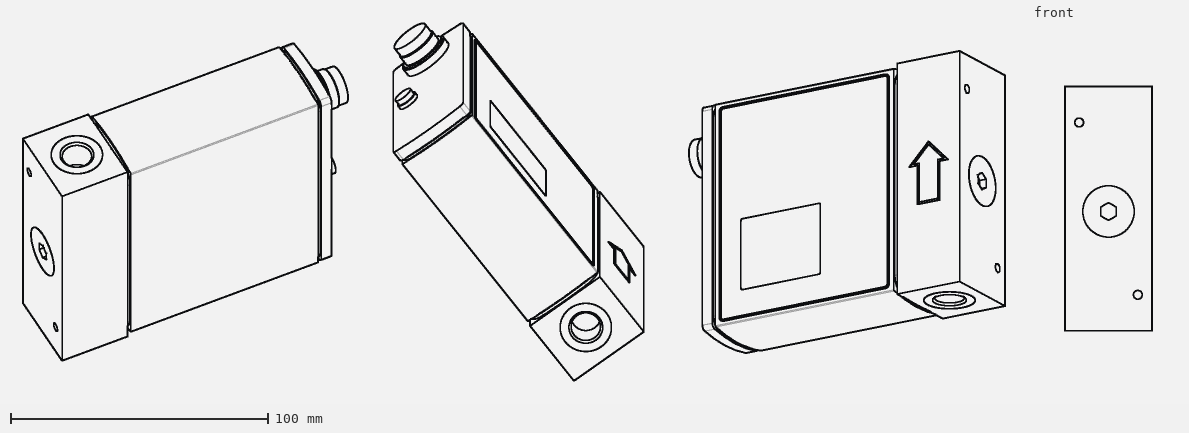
import cadquery as cq
import math

WIDTH = 34.0
HEIGHT = 95.0
HALF_WIDTH = WIDTH / 2
HALF_HEIGHT = HEIGHT / 2

BLOCK_REAR = 28.5
HOUSING_FRONT = 30.0
HOUSING_REAR = 111.45
CAP_FRONT = 112.7
CAP_REAR = 117.3

CROWN_RADIUS = 80.0
CAP_CORNER_RADIUS = 2.0
HOUSING_EDGE_RADIUS = 0.4

SEAL_INSET = 0.35
SEAL_BITE = 0.05
FRONT_SEAL_CORNER = 7.2
REAR_SEAL_CORNER = 5.2

PANEL_FRONT = 32.2
PANEL_REAR = 109.6
PANEL_HEIGHT = 88.2
PANEL_CORNER_RADIUS = 1.9
PANEL_GROOVE_WIDTH = 0.7
PANEL_GROOVE_DEPTH = 0.3
LABEL_LENGTH = 36.2
LABEL_HEIGHT = 29.2
LABEL_CENTER_Y = 81.6
LABEL_CENTER_Z = -18.2
LABEL_CORNER_RADIUS = 0.8
LABEL_DEPTH = 0.1

ARROW_CENTER_Y = 14.2
ARROW_TIP_Z = 12.8
ARROW_WING_Z = 3.8
ARROW_TAIL_Z = -12.2
ARROW_HALF_SPAN = 8.8
ARROW_HALF_SHAFT = 5.0
ARROW_LINE_WIDTH = 0.8
ARROW_DEPTH = 0.2

PORT_CENTER_Y = 15.0
PORT_BORE = 11.45
PORT_MOUTH = 13.16
PORT_DEPTH = 12.0
SPOTFACE_DIAMETER = 20.0
SPOTFACE_DEPTH = 0.1

PLUG_CENTER_Z = -1.1
PLUG_DIAMETER = 20.0
PLUG_RECESS = 0.1
HEX_ACROSS_FLATS = 6.0
HEX_DEPTH = 3.0
MOUNT_HOLE_DIAMETER = 3.4
MOUNT_HOLE_DEPTH = 8.0
MOUNT_HOLE_X = 11.4
MOUNT_HOLE_Z = 33.5

CONNECTOR_TIP = 129.2
MAIN_CONNECTOR_X = 0.0
MAIN_CONNECTOR_Z = 31.7
MAIN_CONNECTOR_STEPS = [
    (20.0, 120.4, 0.0),
    (18.4, 121.2, 0.0),
    (16.0, 125.4, 0.4),
    (15.2, CONNECTOR_TIP, 0.0),
]
SMALL_CONNECTOR_X = 9.4
SMALL_CONNECTOR_Z = -1.0
SMALL_CONNECTOR_STEPS = [(8.5, 118.9, 0.0), (7.4, 121.1, 0.0)]


def crowned_slab(y_front, y_rear, corner_radius=0.0, inset=0.0):
    """Slab along Y with flat sides and arched top and bottom, shrunk all round by inset."""
    half_width = HALF_WIDTH - inset
    crest = HALF_HEIGHT - inset
    edge = crest - (CROWN_RADIUS - math.sqrt(CROWN_RADIUS**2 - half_width**2))
    slab = (
        cq.Workplane("XZ", origin=(0, y_front, 0))
        .moveTo(-half_width, -edge)
        .lineTo(-half_width, edge)
        .threePointArc((0, crest), (half_width, edge))
        .lineTo(half_width, -edge)
        .threePointArc((0, -crest), (-half_width, -edge))
        .close()
        .extrude(y_front - y_rear)
    )
    if corner_radius > 0:
        slab = slab.edges("|Y").fillet(corner_radius)
    return slab


def seal(y_front, y_rear, corner_radius):
    """Gasket with a rounded rim: a flat core framed by a bead that runs into both neighbours."""
    bead_radius = (y_rear - y_front) / 2 + SEAL_BITE
    y_middle = (y_front + y_rear) / 2
    path_inset = SEAL_INSET + bead_radius
    path_corner = corner_radius - bead_radius
    core = crowned_slab(y_front, y_rear, path_corner, path_inset)
    path = crowned_slab(y_middle, y_rear, path_corner, path_inset).faces("<Y").wires()
    bead = cq.Workplane("XY", origin=(path_inset - HALF_WIDTH, y_middle, 0)).circle(bead_radius).sweep(path)
    return core.union(bead)


def side_plane(y, z):
    """Plane on the -X side face; local x is +Z, local y is +Y, normal points outward."""
    return cq.Workplane(cq.Plane(origin=(-HALF_WIDTH, y, z), xDir=(0, 0, 1), normal=(-1, 0, 0)))


def turned_steps(x, z, steps):
    """Stack of coaxial cylinders standing on the rear of the cap."""
    stack = cq.Workplane("XY")
    start = CAP_REAR
    for diameter, end, chamfer in steps:
        step = cq.Workplane("XZ", origin=(x, start, z)).circle(diameter / 2).extrude(start - end)
        if chamfer > 0:
            step = step.faces(">Y").chamfer(chamfer)
        stack = stack.add(step)
        start = end
    return stack.combine()


def panel_groove():
    """Rounded rectangular ring that outlines the side panel."""
    length = PANEL_REAR - PANEL_FRONT
    center_y = (PANEL_FRONT + PANEL_REAR) / 2
    inner_radius = PANEL_CORNER_RADIUS - PANEL_GROOVE_WIDTH
    outer = side_plane(center_y, 0).rect(PANEL_HEIGHT, length).extrude(-PANEL_GROOVE_DEPTH)
    inner = (
        side_plane(center_y, 0)
        .rect(PANEL_HEIGHT - 2 * PANEL_GROOVE_WIDTH, length - 2 * PANEL_GROOVE_WIDTH)
        .extrude(-PANEL_GROOVE_DEPTH)
    )
    return outer.edges("|X").fillet(PANEL_CORNER_RADIUS).cut(inner.edges("|X").fillet(inner_radius))


def label_recess():
    recess = side_plane(LABEL_CENTER_Y, LABEL_CENTER_Z).rect(LABEL_HEIGHT, LABEL_LENGTH).extrude(-LABEL_DEPTH)
    return recess.edges("|X").fillet(LABEL_CORNER_RADIUS)


def arrow_outline():
    half_outline = [
        (ARROW_TAIL_Z, ARROW_HALF_SHAFT),
        (ARROW_WING_Z, ARROW_HALF_SHAFT),
        (ARROW_WING_Z, ARROW_HALF_SPAN),
        (ARROW_TIP_Z, 0),
    ]
    mirrored = [(z, -y) for z, y in reversed(half_outline[:-1])]
    return side_plane(ARROW_CENTER_Y, 0).polyline(half_outline + mirrored).close()


def arrow_groove():
    inner = arrow_outline().offset2D(-ARROW_LINE_WIDTH, "intersection").extrude(-ARROW_DEPTH)
    return arrow_outline().extrude(-ARROW_DEPTH).cut(inner)


def port(side):
    """Port cutter entering the block from the top (side = 1) or the bottom (side = -1)."""
    chamfer = (PORT_MOUTH - PORT_BORE) / 2
    chamfer_top = HALF_HEIGHT - SPOTFACE_DEPTH
    cutter = (
        cq.Workplane("XZ")
        .moveTo(0, HALF_HEIGHT)
        .lineTo(SPOTFACE_DIAMETER / 2, HALF_HEIGHT)
        .lineTo(SPOTFACE_DIAMETER / 2, chamfer_top)
        .lineTo(PORT_MOUTH / 2, chamfer_top)
        .lineTo(PORT_BORE / 2, chamfer_top - chamfer)
        .lineTo(PORT_BORE / 2, HALF_HEIGHT - PORT_DEPTH)
        .lineTo(0, HALF_HEIGHT - PORT_DEPTH)
        .close()
        .revolve(360, (0, 0, 0), (0, 1, 0))
        .translate((0, PORT_CENTER_Y, 0))
    )
    return cutter if side > 0 else cutter.mirror("XY")


def front_plug():
    """Plug face set slightly below the block face, with a hexagon socket."""
    plane = cq.Workplane("XZ", origin=(0, 0, PLUG_CENTER_Z))
    face = plane.circle(PLUG_DIAMETER / 2).extrude(-PLUG_RECESS)
    across_corners = HEX_ACROSS_FLATS / math.cos(math.pi / 6)
    socket = plane.transformed(rotate=(0, 0, 90)).polygon(6, across_corners).extrude(-HEX_DEPTH)
    return face.union(socket)


def mounting_holes():
    centers = [(-MOUNT_HOLE_X, MOUNT_HOLE_Z), (MOUNT_HOLE_X, -MOUNT_HOLE_Z)]
    return cq.Workplane("XZ").pushPoints(centers).circle(MOUNT_HOLE_DIAMETER / 2).extrude(-MOUNT_HOLE_DEPTH)


block = cq.Workplane("XY").box(WIDTH, BLOCK_REAR, HEIGHT).translate((0, BLOCK_REAR / 2, 0))
for side in (1, -1):
    block = block.cut(port(side))
block = block.cut(front_plug()).cut(mounting_holes()).cut(arrow_groove())

housing = crowned_slab(HOUSING_FRONT, HOUSING_REAR, HOUSING_EDGE_RADIUS)
housing = housing.cut(panel_groove()).cut(label_recess())
cap = crowned_slab(CAP_FRONT, CAP_REAR, CAP_CORNER_RADIUS)

result = (
    block.union(seal(BLOCK_REAR, HOUSING_FRONT, FRONT_SEAL_CORNER))
    .union(housing)
    .union(seal(HOUSING_REAR, CAP_FRONT, REAR_SEAL_CORNER))
    .union(cap)
    .union(turned_steps(MAIN_CONNECTOR_X, MAIN_CONNECTOR_Z, MAIN_CONNECTOR_STEPS))
    .union(turned_steps(SMALL_CONNECTOR_X, SMALL_CONNECTOR_Z, SMALL_CONNECTOR_STEPS))
)